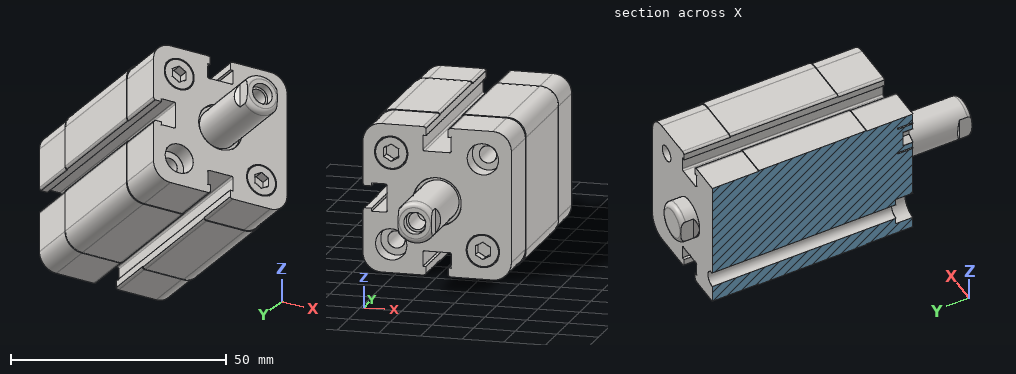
import cadquery as cq
import math

TUBE_WIDTH = 36.1
CAP_WIDTH = 35.7
CORNER_RADIUS = 4.5
BODY_LENGTH = 53.0
CAP_LENGTH = 12.25
TUBE_LENGTH = BODY_LENGTH - 2 * CAP_LENGTH

SLOT_OPENING = 5.3
SLOT_WIDTH = 6.75
SLOT_FLOOR = 12.0
SLOT_LIP = 15.7
SLOT_FLOOR_RADIUS = 0.4
SLOT_MOUTH_RADIUS = 0.8
SLOT_MOUTH_FLARE = 0.7
SLOT_ANGLES = (0, 90, 180)

HOLE_OFFSET = 11.0
MOUNT_HOLE_DIAMETER = 4.13
MOUNT_BORE_DIAMETER = 7.5
MOUNT_BORE_DEPTH = 4.5
SCREW_BORE_DIAMETER = 8.0
SCREW_HEAD_DIAMETER = 7.5
SCREW_GAP_DEPTH = 4.0
HEX_ACROSS_FLATS = 3.6
HEX_DEPTH = 2.5

ROD_DIAMETER = 10.0
ROD_FRONT = 19.5
ROD_BACK = 4.5
ROD_END_RADIUS = 1.25
ROD_GUIDE_DIAMETER = 11.6
ROD_GUIDE_DEPTH = 1.0
FLAT_SPACING = 8.0
FLAT_LENGTH = 3.4
THREAD_DIAMETER = 4.13
THREAD_MOUTH_DIAMETER = 5.25
THREAD_MOUTH_DEPTH = 2.1
THREAD_DEPTH = 10.0
DRILL_POINT_ANGLE = 118.0


def front_plane(y):
    """Plane normal to the rod axis at y; local x is X, local y is Z, extrusion runs toward +Y."""
    return cq.Workplane(cq.Plane(origin=(0, y, 0), xDir=(1, 0, 0), normal=(0, -1, 0)))


def cylinder(diameter, start, length, x=0.0, z=0.0):
    """Cylinder along +Y, beginning at y = start."""
    return front_plane(start).center(x, z).circle(diameter / 2).extrude(-length)


def rounded_block(width, start, length):
    block = front_plane(start).rect(width, width).extrude(-length)
    return block.edges("|Y").fillet(CORNER_RADIUS)


def slot_cutter(width, start, length):
    """T-slot in the top face of a section of the given width, with rounded mouth edges."""
    face = width / 2
    half_mouth = SLOT_OPENING / 2
    mouth_flare = half_mouth + SLOT_MOUTH_FLARE
    arc_drop = SLOT_MOUTH_RADIUS - math.sqrt(SLOT_MOUTH_RADIUS**2 - SLOT_MOUTH_FLARE**2)
    mouth_start = face - arc_drop
    wide_height = SLOT_LIP - SLOT_FLOOR
    wide = (
        front_plane(start)
        .center(0, SLOT_FLOOR + wide_height / 2)
        .rect(SLOT_WIDTH, wide_height)
        .extrude(-length)
        .edges("|Y and <Z")
        .fillet(SLOT_FLOOR_RADIUS)
    )
    mouth = (
        front_plane(start)
        .moveTo(-half_mouth, SLOT_LIP)
        .lineTo(half_mouth, SLOT_LIP)
        .lineTo(half_mouth, mouth_start)
        .radiusArc((mouth_flare, face), SLOT_MOUTH_RADIUS)
        .lineTo(-mouth_flare, face)
        .radiusArc((-half_mouth, mouth_start), SLOT_MOUTH_RADIUS)
        .close()
        .extrude(-length)
    )
    return wide.union(mouth)


def body_section(width, start, length):
    section = rounded_block(width, start, length)
    cutter = slot_cutter(width, start, length)
    for angle in SLOT_ANGLES:
        section = section.cut(cutter.rotate((0, 0, 0), (0, 1, 0), -angle))
    return section


def make_body():
    front_cap = body_section(CAP_WIDTH, 0, CAP_LENGTH)
    tube = body_section(TUBE_WIDTH, CAP_LENGTH, TUBE_LENGTH)
    back_cap = body_section(CAP_WIDTH, CAP_LENGTH + TUBE_LENGTH, CAP_LENGTH)
    return front_cap.union(tube).union(back_cap)


def cut_mounting_hole(body, x, z):
    """Through hole with a counterbore in the front face."""
    body = body.cut(cylinder(MOUNT_HOLE_DIAMETER, 0, BODY_LENGTH, x, z))
    return body.cut(cylinder(MOUNT_BORE_DIAMETER, 0, MOUNT_BORE_DEPTH, x, z))


def cut_screw(body, x, z):
    """Flush socket screw: a ring gap around the head and a hexagon socket with corners up and down."""
    gap = cylinder(SCREW_BORE_DIAMETER, 0, SCREW_GAP_DEPTH, x, z)
    gap = gap.cut(cylinder(SCREW_HEAD_DIAMETER, 0, SCREW_GAP_DEPTH, x, z))
    across_corners = HEX_ACROSS_FLATS / math.cos(math.pi / 6)
    socket = (
        front_plane(0)
        .center(x, z)
        .transformed(rotate=(0, 0, 90))
        .polygon(6, across_corners)
        .extrude(-HEX_DEPTH)
    )
    return body.cut(gap).cut(socket)


def flat_cutter(end_y, inward):
    """Cutter for the wrench flat on the +X side of a rod end; inward is +1 or -1 along Y."""
    flat = FLAT_SPACING / 2
    rod_surface = ROD_DIAMETER / 2
    runout = rod_surface - flat
    return (
        cq.Workplane("XY")
        .moveTo(flat, end_y)
        .lineTo(rod_surface, end_y)
        .lineTo(rod_surface, end_y + inward * (FLAT_LENGTH + runout))
        .lineTo(flat, end_y + inward * FLAT_LENGTH)
        .close()
        .extrude(rod_surface, both=True)
    )


def thread_cutter():
    """Blind thread core hole with a wider mouth and a drill point, turned about the rod axis."""
    radius = THREAD_DIAMETER / 2
    mouth_radius = THREAD_MOUTH_DIAMETER / 2
    point_length = radius / math.tan(math.radians(DRILL_POINT_ANGLE / 2))
    hole_end = THREAD_DEPTH - ROD_FRONT
    return (
        cq.Workplane("XY")
        .moveTo(0, -ROD_FRONT)
        .lineTo(mouth_radius, -ROD_FRONT)
        .lineTo(mouth_radius, -ROD_FRONT + THREAD_MOUTH_DEPTH)
        .lineTo(radius, -ROD_FRONT + THREAD_MOUTH_DEPTH)
        .lineTo(radius, hole_end)
        .lineTo(0, hole_end + point_length)
        .close()
        .revolve(360, (0, 0, 0), (0, 1, 0))
    )


def make_rod():
    back_end = BODY_LENGTH + ROD_BACK
    rod = cylinder(ROD_DIAMETER, -ROD_FRONT, ROD_FRONT + back_end)
    rod = rod.faces("<Y or >Y").edges().fillet(ROD_END_RADIUS)
    for end_y, inward in ((-ROD_FRONT, 1), (back_end, -1)):
        cutter = flat_cutter(end_y, inward)
        rod = rod.cut(cutter).cut(cutter.mirror("YZ"))
    return rod.cut(thread_cutter())


def make_part():
    body = make_body()
    for side in (-1, 1):
        body = cut_mounting_hole(body, side * HOLE_OFFSET, side * HOLE_OFFSET)
        body = cut_screw(body, side * HOLE_OFFSET, -side * HOLE_OFFSET)
    body = body.cut(cylinder(ROD_GUIDE_DIAMETER, 0, ROD_GUIDE_DEPTH))
    return body.union(make_rod())


result = make_part()